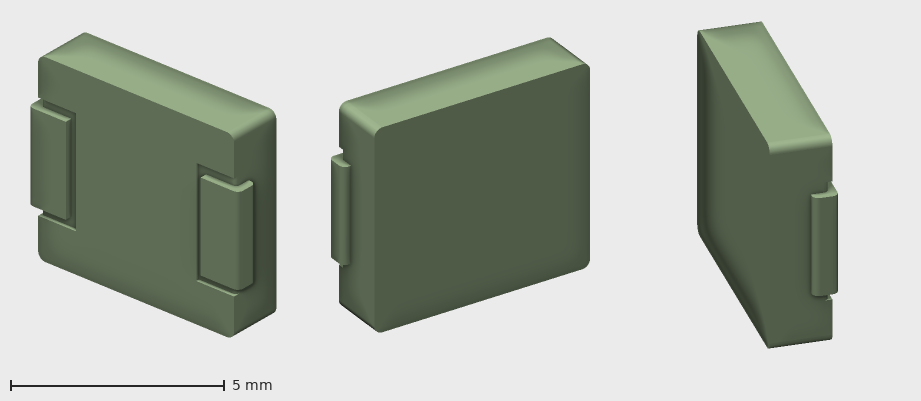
import cadquery as cq

length = 6.47
depth = 1.63
height = 5.48

body_length = 6.01
body_depth = 1.53
corner_radius = 0.22

terminal_height = 2.62
terminal_reach = 1.165
terminal_leg = 0.63
outer_bend_radius = 0.16

recess_height = 3.16
recess_length = 1.16
recess_depth = 0.1
inner_bend_radius = 0.11

front = -depth / 2
back = depth / 2
body_front = back - body_depth
body_side = -body_length / 2
terminal_side = -length / 2
recess_floor = body_front + recess_depth
bend_end_x = body_side + inner_bend_radius
bend_end_y = recess_floor + inner_bend_radius


def extrude_along_z(profile, extrusion_height):
    """Extrude an XY profile symmetrically about the middle height."""
    return profile.extrude(extrusion_height / 2, both=True)


def make_body():
    """Rectangular block with rounded edges running front to back."""
    block = cq.Workplane("XY").box(body_length, body_depth, height)
    block = block.translate((0, (body_front + back) / 2, 0))
    return block.edges("|Y").fillet(corner_radius)


def make_left_recess():
    """Shallow pocket whose floor rounds over into the body side."""
    recess_end = body_side + recess_length
    profile = (
        cq.Workplane("XY")
        .moveTo(body_side, body_front)
        .lineTo(recess_end, body_front)
        .lineTo(recess_end, recess_floor)
        .lineTo(bend_end_x, recess_floor)
        .radiusArc((body_side, bend_end_y), inner_bend_radius)
        .close()
    )
    return extrude_along_z(profile, recess_height)


def make_left_terminal():
    """Bent strip lying on the recess floor and against the body side."""
    foot_end = terminal_side + terminal_reach
    leg_end = front + terminal_leg
    profile = (
        cq.Workplane("XY")
        .moveTo(terminal_side, front)
        .lineTo(foot_end, front)
        .lineTo(foot_end, recess_floor)
        .lineTo(bend_end_x, recess_floor)
        .radiusArc((body_side, bend_end_y), inner_bend_radius)
        .lineTo(body_side, leg_end)
        .lineTo(terminal_side, leg_end)
        .close()
    )
    terminal = extrude_along_z(profile, terminal_height)
    return terminal.edges("|Z and <X").fillet(outer_bend_radius)


recess = make_left_recess()
terminal = make_left_terminal()

result = make_body().cut(recess).cut(recess.mirror("YZ"))
result = result.union(terminal).union(terminal.mirror("YZ"))